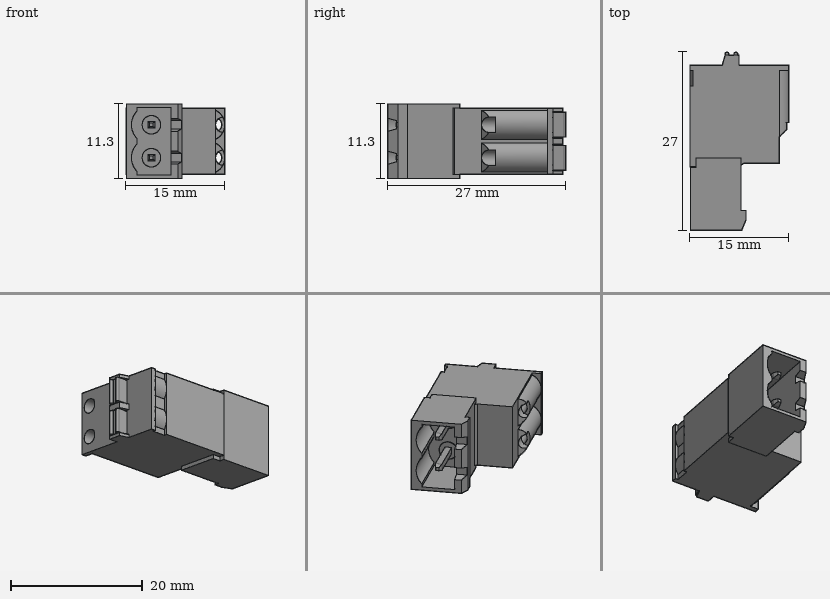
import cadquery as cq

pole_pitch = 5.0
pole_heights = (-pole_pitch / 2, pole_pitch / 2)
total_length = 27.0

housing_height = 10.0
housing_width = 13.6
housing_front = 10.15
housing_nose_front = 9.6
housing_nose_width = 7.4
housing_bevel_x = 8.2
housing_back = 25.02

shroud_height = 11.3
shroud_left = 0.08
shroud_right = 7.8
shroud_back = 10.93
shroud_notch_x = 0.95
shroud_notch_y = 9.53
lip_right = 8.53
lip_back = 3.02
lip_bevel_y = 1.55
lip_front_x = 7.88

cavity_left = 1.73
cavity_right = 6.83
cavity_height = 10.2
cavity_depth = 8.9
pin_x = 3.9
lobe_radius = 3.02
pin_width = 1.03
pin_tip_width = 0.5
pin_front = 1.25
pin_taper_length = 0.92
pin_seat_radius = 1.4
pin_seat_depth = 0.13

slot_mouth = 1.97
slot_floor = 1.25
slot_depth = 1.35

total_width = 15.0
flange_front = 24.2
barrel_radius = 2.43
barrel_center_x = total_width - barrel_radius
barrel_step_y = 16.33
barrel_bevel_y = 15.35
barrel_bevel_x = 14.76
relief_x = 14.8
relief_radius = 1.15
screw_hole_x = 13.4
screw_hole_radius = 1.13

recess_front = 21.83
recess_depth = 0.49
bump_half_height = 1.6

tab_left_root = 4.9
tab_left_tip = 5.35
tab_right = 7.48
tab_back = 26.55
outer_tab_thickness = 0.5
middle_tab_thickness = 0.92
button_right = 7.3
button_inner_edge = 0.62
button_outer_edge = 4.43
button_ridge_width = 0.6
button_ridge_radius = 0.27


def box(x0, x1, y0, y1, height, z=0.0):
    """Block between two X and two Y positions, centred on z."""
    return cq.Workplane("XY").box(x1 - x0, y1 - y0, height).translate(((x0 + x1) / 2, (y0 + y1) / 2, z))


def prism(points, height, z=0.0):
    """XY outline extruded along Z, centred on z."""
    return cq.Workplane("XY").polyline(points).close().extrude(height / 2, both=True).translate((0, 0, z))


def rod(x, z, radius, y0, y1):
    """Cylinder along Y."""
    return cq.Workplane("XZ", origin=(x, y0, z)).circle(radius).extrude(y0 - y1)


def housing():
    outline = [
        (0, housing_nose_front),
        (housing_nose_width, housing_nose_front),
        (housing_bevel_x, housing_front),
        (housing_width, housing_front),
        (housing_width, housing_back),
        (0, housing_back),
    ]
    flange = box(0, total_width, flange_front, housing_back, housing_height)
    return prism(outline, housing_height).union(flange)


def barrel(z):
    """Rounded screw barrel, bevelled toward the front, that stands out of the housing."""
    bevel_front = barrel_bevel_y - (barrel_bevel_x - housing_width)
    outline = [
        (barrel_center_x, flange_front),
        (total_width, flange_front),
        (total_width, barrel_bevel_y + total_width - barrel_bevel_x),
        (housing_width, bevel_front),
        (barrel_center_x, bevel_front),
    ]
    envelope = prism(outline, pole_pitch, z)
    return rod(barrel_center_x, z, barrel_radius, housing_front, flange_front).intersect(envelope)


def barrel_holes(z):
    """Relief from the front that meets the screw hole from the back."""
    relief = rod(relief_x, z, relief_radius, housing_front, barrel_step_y)
    return relief.union(rod(screw_hole_x, z, screw_hole_radius, barrel_step_y, housing_back))


def side_recess():
    """Shallow recess across the flat side, with a rounded bump left standing at each pole."""
    recess = box(0, recess_depth, recess_front, flange_front, housing_height)
    bump_radius = (bump_half_height**2 + recess_depth**2) / (2 * recess_depth)
    for z in pole_heights:
        recess = recess.cut(rod(bump_radius, z, bump_radius, recess_front, flange_front))
    return recess


def shroud():
    outline = [
        (shroud_left, 0),
        (lip_front_x, 0),
        (lip_right, lip_bevel_y),
        (lip_right, lip_back),
        (shroud_right, lip_back),
        (shroud_right, shroud_back),
        (shroud_notch_x, shroud_back),
        (shroud_notch_x, shroud_notch_y),
        (shroud_left, shroud_notch_y),
    ]
    return prism(outline, shroud_height)


def cavity():
    space = box(cavity_left, cavity_right, 0, cavity_depth, cavity_height)
    for z in pole_heights:
        lobe_limits = box(0, pin_x, 0, cavity_depth, pole_pitch, z)
        lobe = rod(pin_x, z, lobe_radius, 0, cavity_depth).intersect(lobe_limits)
        space = space.union(lobe)
        space = space.union(rod(pin_x, z, pin_seat_radius, 0, cavity_depth + pin_seat_depth))
    return space


def keying_slot(z):
    """Slot with sloping flanks, narrowing from the mating face."""
    outline = [
        (0, z - slot_mouth / 2),
        (0, z + slot_mouth / 2),
        (slot_depth, z + slot_floor / 2),
        (slot_depth, z - slot_floor / 2),
    ]
    wall_thickness = lip_right - cavity_right
    return cq.Workplane("YZ", origin=(cavity_right, 0, 0)).polyline(outline).close().extrude(wall_thickness)


def pin(z):
    shank_front = pin_front + pin_taper_length
    shank = box(pin_x - pin_width / 2, pin_x + pin_width / 2, shank_front, housing_front, pin_width, z)
    tip = (
        cq.Workplane("XZ", origin=(pin_x, shank_front, z))
        .rect(pin_width, pin_width)
        .workplane(offset=pin_taper_length)
        .rect(pin_tip_width, pin_tip_width)
        .loft()
    )
    return shank.union(tip)


def tab(thickness, z):
    outline = [
        (tab_left_root, housing_back),
        (tab_right, housing_back),
        (tab_right, tab_back),
        (tab_left_tip, tab_back),
    ]
    return prism(outline, thickness, z)


def button(side):
    """Release button with two rounded ridges, above (side 1) or below (side -1) the middle tab."""
    button_height = button_outer_edge - button_inner_edge
    z = side * (button_outer_edge + button_inner_edge) / 2
    block = box(tab_left_tip, button_right, housing_back, tab_back, button_height, z)
    for left in (tab_left_tip, button_right - button_ridge_width):
        ridge = box(left, left + button_ridge_width, housing_back, total_length, button_height, z)
        block = block.union(ridge.edges("|Z and >Y").fillet(button_ridge_radius))
    return block


result = housing().cut(side_recess())
for z in pole_heights:
    result = result.union(barrel(z))
for z in pole_heights:
    result = result.cut(barrel_holes(z))

result = result.union(shroud()).cut(cavity())
for z in pole_heights:
    result = result.cut(keying_slot(z)).union(pin(z))

outer_tab_z = (housing_height - outer_tab_thickness) / 2
result = result.union(tab(middle_tab_thickness, 0))
for side in (-1, 1):
    result = result.union(tab(outer_tab_thickness, side * outer_tab_z)).union(button(side))